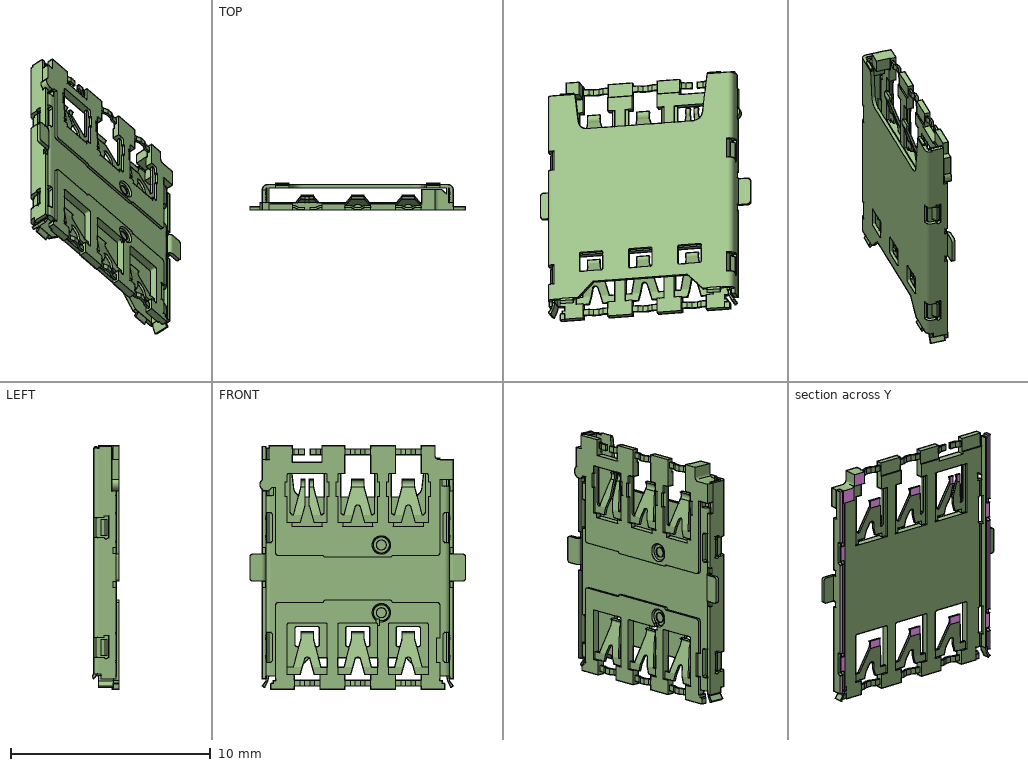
import cadquery as cq

HOUSING_TOP = 6.1
HOUSING_BACK = 0.37
EDGE_BACK = 0.3
BASE_FRONT = 0.13

COVER_HALF_WIDTH = 4.78
COVER_BACK = 1.28
SHEET = 0.18
COVER_INNER = COVER_BACK - SHEET
COVER_RADIUS = 0.27
COVER_TOP = 5.97
COVER_BOTTOM = -5.32
WALL_TOP = 6.06
WALL_BOTTOM = -5.57
WALL_FRONT = 0.17
WALL_FRONT_HIGH = 0.38
WALL_STEP_Z = 3.82
RIGHT_CORNER_X = 3.3
RIGHT_CORNER_Z = 5.4
WALL_INNER = COVER_HALF_WIDTH - SHEET

INNER_WALL = 0.11
WALL_GAP = 0.05
INNER_WALL_X = WALL_INNER - WALL_GAP - INNER_WALL
INNER_WALL_TOP = 5.97
INNER_WALL_BOTTOM = -5.43
BEND_RADIUS = 0.24
BEND_TOP_LEFT = 3.6
BEND_TOP_RIGHT = 4.08

PITCH = 2.53
COLUMNS = (-PITCH, 0.0, PITCH)
POCKET_RADIUS = 0.08
POCKET_HALF = 1.0
GAP_HALF = 0.64
WIDE_GAP_HALF = 0.74

SHOULDER_Z = 4.7
BAR_BOTTOM = 4.4
UPPER_ROOT_Z = 2.25
LOWER_ROOT_Z = -5.36
LOWER_POCKET_TOP = -2.78
POCKET_FLOOR = 0.13

FIRST_GAP_BOTTOM = 5.28
UPPER_STRIP_Z = 5.79
LOWER_STRIP_Z = -5.78
GATE_MARKS_Z = (1.13, -2.26)
LATCH_Z = (2.0, -3.99)
EPS = 0.02


def box(x0, x1, y0, y1, z0, z1):
    return cq.Workplane("XY").box(x1 - x0, y1 - y0, z1 - z0, centered=False).translate((x0, y0, z0))


def plate(points, y0, y1):
    """Extrude an outline in X, Z from y0 to y1."""
    return cq.Workplane("XZ", origin=(0, y0, 0)).polyline(points).close().extrude(y0 - y1)


def rounded_box(x0, x1, y0, y1, z0, z1, radius, edges="|Y"):
    return box(x0, x1, y0, y1, z0, z1).edges(edges).fillet(radius)


def both_sides(body):
    return body.union(body.mirror("YZ"))


def mirrored(points):
    """Complete a left-right symmetric outline from its right half."""
    return points + [(-x, z) for x, z in reversed(points)]


def base_sheet():
    flat_half = WALL_INNER - BEND_RADIUS
    relief_x = 4.22
    middle = box(-flat_half, flat_half, BASE_FRONT, HOUSING_BACK, INNER_WALL_BOTTOM, BAR_BOTTOM)
    middle = middle.cut(box(relief_x, flat_half, 0, HOUSING_BACK, BEND_TOP_RIGHT, BAR_BOTTOM))
    middle = middle.cut(box(-flat_half, -relief_x, 0, HOUSING_BACK, BEND_TOP_LEFT, BAR_BOTTOM))
    right_side = folded_side(BEND_TOP_RIGHT, RIGHT_CORNER_Z)
    left_side = folded_side(BEND_TOP_LEFT, INNER_WALL_TOP).mirror("YZ")
    return middle.union(right_side).union(left_side)


def folded_side(bend_top, wall_top):
    """Right-hand edge of the base, rolled up into the inner side wall."""
    flat_half = WALL_INNER - BEND_RADIUS
    bend = (
        cq.Workplane("XY", origin=(0, 0, INNER_WALL_BOTTOM))
        .moveTo(flat_half - EPS, BASE_FRONT)
        .lineTo(flat_half, BASE_FRONT)
        .radiusArc((WALL_INNER, BASE_FRONT + BEND_RADIUS), -BEND_RADIUS)
        .lineTo(WALL_INNER + EPS, HOUSING_BACK)
        .lineTo(WALL_INNER + EPS, HOUSING_BACK + EPS)
        .lineTo(flat_half - EPS, HOUSING_BACK + EPS)
        .close()
        .extrude(bend_top - INNER_WALL_BOTTOM)
    )
    wall = box(
        INNER_WALL_X, WALL_INNER - WALL_GAP, HOUSING_BACK, COVER_INNER + EPS, INNER_WALL_BOTTOM, wall_top
    )
    return bend.union(wall)


PAD_HALF = 4.11
PAD_RADIUS = 0.15
PAD_STEP = 1.65
PAD_CHAMFER = 0.08


def upper_housing():
    pad_z = 0.6
    left_top_x = -4.44
    right_top_x = 3.87
    pad = rounded_box(-PAD_HALF, PAD_HALF, 0, HOUSING_BACK, pad_z, SHOULDER_Z, PAD_RADIUS)
    lip = plate(
        mirrored([(PAD_STEP + PAD_CHAMFER, pad_z), (PAD_STEP, pad_z - PAD_CHAMFER)]), 0, HOUSING_BACK
    )
    bar = box(-COVER_HALF_WIDTH, COVER_HALF_WIDTH, 0, HOUSING_BACK, BAR_BOTTOM, RIGHT_CORNER_Z)
    crown = box(left_top_x, right_top_x, 0, EDGE_BACK, BAR_BOTTOM, HOUSING_TOP)
    return pad.union(lip).union(bar).union(crown).union(guide_nub()).union(corner_block())


def guide_nub():
    """Rounded nub on the left edge below the upper bar."""
    nub_x, nub_z, nub_radius = -4.59, 4.15, 0.31
    neck_bottom = 4.0
    neck_corner_x, neck_slope_x = -4.45, -4.3
    nub = cq.Workplane("XZ", origin=(nub_x, 0, nub_z)).circle(nub_radius).extrude(-HOUSING_BACK)
    neck = plate(
        [
            (nub_x, BAR_BOTTOM),
            (nub_x, nub_z - nub_radius),
            (neck_corner_x, nub_z - nub_radius),
            (neck_slope_x, neck_bottom),
            (-PAD_HALF, neck_bottom),
            (-PAD_HALF, BAR_BOTTOM),
        ],
        0,
        HOUSING_BACK,
    )
    return nub.union(neck)


def corner_block():
    """Tall key block in the upper right corner, with a concave shoulder."""
    left = 3.2
    right = 4.56
    step_x = 3.87
    step_radius = 0.2
    shoulder_z = RIGHT_CORNER_Z
    overhang_z = 5.45
    back = 1.03
    chamfer_x = 0.36
    chamfer_y = 0.33
    block = (
        cq.Workplane("XZ")
        .moveTo(left, overhang_z)
        .lineTo(left, HOUSING_TOP)
        .lineTo(step_x, HOUSING_TOP)
        .lineTo(step_x, shoulder_z + step_radius)
        .radiusArc((step_x + step_radius, shoulder_z), -step_radius)
        .lineTo(right, shoulder_z)
        .lineTo(right, SHOULDER_Z)
        .lineTo(step_x, SHOULDER_Z)
        .lineTo(step_x, overhang_z)
        .close()
        .extrude(-back)
    )
    corner = (
        cq.Workplane("XY", origin=(0, 0, SHOULDER_Z))
        .polyline([(right, back - chamfer_y), (right, back), (right - chamfer_x, back)])
        .close()
        .extrude(HOUSING_TOP - SHOULDER_Z)
    )
    return block.cut(corner)


def lower_housing():
    pad_z = -1.74
    lip_z = -1.62
    foot_half = 4.36
    foot_top = -5.78
    foot_chamfer = 0.05
    ankle_x, ankle_top = 4.24, -5.66
    notch_x, notch_top, notch_bottom = 3.94, -3.53, -4.74
    pad = box(-PAD_HALF, PAD_HALF, 0, HOUSING_BACK, -HOUSING_TOP, pad_z)
    pad = pad.edges("|Y and >Z").fillet(PAD_RADIUS)
    lip = plate(mirrored([(PAD_STEP + PAD_CHAMFER, pad_z), (PAD_STEP, lip_z)]), 0, HOUSING_BACK)
    foot = box(-foot_half, foot_half, 0, EDGE_BACK, -HOUSING_TOP, foot_top)
    foot = foot.edges("|Y and >Z").chamfer(foot_chamfer)
    ankle = both_sides(box(PAD_HALF - EPS, ankle_x, 0, HOUSING_BACK, foot_top - EPS, ankle_top))
    notch = box(notch_x, PAD_HALF + EPS, 0, BASE_FRONT, notch_bottom, notch_top)
    return pad.union(lip).union(foot).union(ankle).cut(notch)


def upper_pocket(x, gap_half, gap_bottom):
    notch_half, notch_bottom, notch_top = 1.1, 3.56, 4.28
    through_half, through_bottom, through_radius = 0.85, 2.66, 0.12
    slot_half, slot_bottom = 0.75, 2.05
    ledge_back = POCKET_FLOOR + CONTACT_THICKNESS
    recess = rounded_box(
        x - POCKET_HALF,
        x + POCKET_HALF,
        0,
        POCKET_FLOOR,
        UPPER_ROOT_Z,
        SHOULDER_Z,
        POCKET_RADIUS,
        "|Y and >Z",
    )
    side_notches = box(x - notch_half, x + notch_half, 0, POCKET_FLOOR, notch_bottom, notch_top)
    through = rounded_box(
        x - through_half,
        x + through_half,
        0,
        HOUSING_BACK + EPS,
        through_bottom,
        SHOULDER_Z,
        through_radius,
        "|Y and <Z",
    )
    gap = box(x - gap_half, x + gap_half, 0, HOUSING_BACK + EPS, gap_bottom, HOUSING_TOP)
    slot = box(x - slot_half, x + slot_half, 0, HOUSING_BACK + EPS, slot_bottom, through_bottom + EPS)
    rear = box(x - POCKET_HALF, x + POCKET_HALF, ledge_back, HOUSING_BACK + EPS, slot_bottom, SHOULDER_Z)
    return recess.union(side_notches).union(rear).union(through).union(gap).union(slot)


def lower_pocket(x):
    window = rounded_box(
        x - POCKET_HALF,
        x + POCKET_HALF,
        0,
        HOUSING_BACK + EPS,
        LOWER_ROOT_Z,
        LOWER_POCKET_TOP,
        POCKET_RADIUS,
        "|Y and >Z",
    )
    gap = box(x - GAP_HALF, x + GAP_HALF, 0, HOUSING_BACK + EPS, -HOUSING_TOP, LOWER_ROOT_Z)
    return window.union(gap)


def gate_mark(z):
    """Round countersunk dimple with a smaller centre recess."""
    x = 1.18
    rim, floor, centre = 0.92, 0.8, 0.5
    floor_depth, centre_depth = 0.1, 0.15
    cone = (
        cq.Workplane("XZ", origin=(x, 0, z)).circle(rim / 2)
        .workplane(offset=-floor_depth).circle(floor / 2).loft()
    )
    core = cq.Workplane("XZ", origin=(x, 0, z)).circle(centre / 2).extrude(-centre_depth)
    return cone.union(core)


def gate_channel():
    """Short channel from the lower dimple to the middle pocket."""
    left, right = 0.91, 1.1
    bottom, top = -2.9, -2.58
    return box(left, right, 0, BASE_FRONT, bottom, top)


FOOT_LENGTH = 0.38
BEND_END = 0.62
ARM_END = 1.79
LOWER_ARM_END = 1.94
TIP_END = 2.17
CONTACT_THICKNESS = 0.12
CREST = 0.14
WIDE_CREST = 0.44
LINK_BREAK = (-2.66, -2.38)


def contact_profile(arm_end):
    """Side shape in Y, Z: flat root, rising arm and a tip curled forward."""
    root, knee, tip = POCKET_FLOOR, 0.2, 0.54
    slope = 0.31
    bevel = 0.04
    arm = knee + slope * (arm_end - BEND_END)
    crest_z, crest = (arm_end + TIP_END) / 2, 0.62
    t = CONTACT_THICKNESS
    return (
        cq.Workplane("YZ", origin=(-POCKET_HALF, 0, 0))
        .moveTo(root, 0)
        .lineTo(root, FOOT_LENGTH)
        .lineTo(knee, BEND_END)
        .lineTo(arm, arm_end)
        .threePointArc((crest, crest_z), (tip, TIP_END - bevel))
        .lineTo(crest + t / 2, TIP_END)
        .threePointArc((crest + t, crest_z), (arm + t, arm_end - EPS))
        .lineTo(knee + t, BEND_END - EPS)
        .lineTo(root + t, FOOT_LENGTH)
        .lineTo(root + t, 0)
        .close()
        .extrude(2 * POCKET_HALF)
    )


def contact(x, z, arm_end, split):
    arm_half = 0.69
    tip_half = 0.32
    fork_half = 0.35
    apex_half = 0.14
    apex_z, apex_top = 0.75, 0.88
    slit_half = 0.1
    depth = 1.0
    outline = plate(
        mirrored(
            [
                (POCKET_HALF, 0),
                (POCKET_HALF, FOOT_LENGTH),
                (arm_half, FOOT_LENGTH),
                (tip_half, ARM_END),
                (tip_half, TIP_END),
            ]
        ),
        0,
        depth,
    )
    fork = (
        cq.Workplane("XZ")
        .moveTo(-fork_half, 0)
        .lineTo(-apex_half, apex_z)
        .threePointArc((0, apex_top), (apex_half, apex_z))
        .lineTo(fork_half, 0)
        .close()
        .extrude(-depth)
    )
    spring = contact_profile(arm_end).intersect(outline).cut(fork)
    if split:
        spring = spring.cut(box(-slit_half, slit_half, 0, depth, 0, TIP_END))
    return spring.translate((x, 0, z))


def carrier_strip(x, z, half_length, crest_half):
    """Stamped link crossing a gap, stepped forward in the middle."""
    slope_length = 0.22
    valley_half = crest_half + slope_length
    front, step, thickness = 0.13, 0.1, 0.11
    half_height = 0.15
    end = half_length + EPS
    front_edge = [
        (-end, front), (-valley_half, front), (-crest_half, front - step),
        (crest_half, front - step), (valley_half, front), (end, front),
    ]
    back_edge = [(px, py + thickness) for px, py in reversed(front_edge)]
    strip = cq.Workplane("XY").polyline(front_edge + back_edge).close().extrude(2 * half_height)
    return strip.translate((x, 0, z - half_height))


LIP_INNER = 3.44
LIP_OUTER = 4.12


def cover():
    shell = box(
        -COVER_HALF_WIDTH, COVER_HALF_WIDTH, WALL_FRONT, COVER_BACK, WALL_BOTTOM, WALL_TOP
    ).edges("|Z and >Y").fillet(COVER_RADIUS)
    cavity = box(-WALL_INNER, WALL_INNER, 0, COVER_INNER, WALL_BOTTOM, WALL_TOP)
    cavity = cavity.edges("|Z and >Y").fillet(COVER_RADIUS - SHEET)
    shell = shell.cut(cavity)
    full = COVER_HALF_WIDTH
    corner_y = COVER_BACK - COVER_RADIUS
    lower_corner_y = 0.91
    shell = shell.cut(box(-full, full, corner_y, COVER_BACK, COVER_TOP, WALL_TOP))
    shell = shell.cut(box(-full, full, lower_corner_y, COVER_BACK, WALL_BOTTOM, COVER_BOTTOM))
    shell = shell.cut(box(-full, full, 0, WALL_FRONT_HIGH, WALL_STEP_Z, WALL_TOP))
    shell = shell.cut(box(RIGHT_CORNER_X, full, 0, COVER_BACK, RIGHT_CORNER_Z, WALL_TOP))
    shell = shell.cut(cover_openings())
    shell = shell.union(both_sides(lower_lip()))
    return shell.union(upper_lip(RIGHT_CORNER_Z)).union(upper_lip(COVER_TOP).mirror("YZ"))


def cover_openings():
    top_edge, top_half, bottom_half = 3.54, 3.45, 3.15
    foot_edge, foot_half, foot_open = -4.52, 2.42, 3.44
    window_half, window_top, window_bottom = 0.6, -2.95, -3.95
    corner_radius = 0.5
    window_radius = 0.08
    taper_end = -5.55
    upper = plate(mirrored([(bottom_half, top_edge), (top_half, WALL_TOP)]), COVER_INNER, COVER_BACK)
    upper = upper.edges("|Y and <Z").fillet(corner_radius)
    lower = plate(
        mirrored([(foot_half, foot_edge), (foot_open, taper_end), (foot_open, WALL_BOTTOM)]),
        COVER_INNER,
        COVER_BACK,
    )
    openings = upper.union(lower)
    for x in COLUMNS:
        window = rounded_box(
            x - window_half,
            x + window_half,
            COVER_INNER,
            COVER_BACK,
            window_bottom,
            window_top,
            window_radius,
        )
        openings = openings.union(window)
    return openings


def lower_lip():
    """Lip at the lower edge of the cover, curled outward."""
    back, back_z = 1.35, -5.44
    front, front_z = 1.2, -5.48
    tip_back, tip_z = 1.29, -5.58
    width = LIP_OUTER - LIP_INNER
    outline = [
        (COVER_INNER, COVER_BOTTOM + EPS),
        (COVER_BACK, COVER_BOTTOM + EPS),
        (back, back_z),
        (tip_back, tip_z),
        (front, front_z),
    ]
    return cq.Workplane("YZ", origin=(LIP_INNER, 0, 0)).polyline(outline).close().extrude(width)


def upper_lip(edge_z):
    """Small rounded lip standing on an upper edge of the cover."""
    height, back = 0.08, 1.23
    lip = box(LIP_INNER, LIP_OUTER, COVER_INNER, back, edge_z - EPS, edge_z + height)
    return lip.edges("|X and >Z").fillet(height / 2)


def side_tab():
    """Solder tab bent outward from the right wall."""
    tip_x, half_height, bend, corner = 5.4, 0.68, 0.2, 0.15
    tab = (
        cq.Workplane("XY", origin=(0, 0, -half_height))
        .moveTo(WALL_INNER, HOUSING_BACK)
        .lineTo(WALL_INNER, bend)
        .radiusArc((WALL_INNER + bend, 0), -bend)
        .lineTo(tip_x, 0)
        .lineTo(tip_x, WALL_FRONT)
        .lineTo(COVER_HALF_WIDTH, WALL_FRONT)
        .lineTo(COVER_HALF_WIDTH, HOUSING_BACK)
        .close()
        .extrude(2 * half_height)
    )
    return tab.edges("|Y and >X").fillet(corner)


def tab_reliefs():
    """Small notches in the right wall above and below the solder tab."""
    inner, outer, depth = 0.7, 1.0, 0.31
    upper = box(WALL_INNER + EPS, COVER_HALF_WIDTH, 0, depth, inner, outer)
    return upper.union(upper.mirror("XY"))


def flared_leg():
    """Lead-in leg that flares outward below the right inner wall."""
    front, back = 0.29, 1.05
    outline = [
        (4.44, INNER_WALL_BOTTOM + EPS),
        (4.58, INNER_WALL_BOTTOM + EPS),
        (4.6, -5.68),
        (4.78, -5.92),
        (4.66, -6.01),
        (4.5, -5.68),
    ]
    return plate(outline, front, back)


def latch_window(z):
    """Opening in the right outer wall, wider at its front end."""
    front, step, back = 0.53, 0.77, COVER_BACK
    ear = 0.1
    wide, narrow = 0.59, 0.5
    outline = [
        (front, z - narrow), (step - ear, z - wide), (step, z - narrow), (back, z - narrow),
        (back, z + narrow), (step, z + narrow), (step, z + wide), (front, z + wide),
    ]
    return cq.Workplane("YZ", origin=(INNER_WALL_X, 0, 0)).polyline(outline).close().extrude(2 * SHEET)


def latch_lug(z):
    """Raised stretch of the right inner wall inside a window, with a wedge-shaped catch."""
    front, ridge, back = 0.62, 0.72, 0.93
    half_height, rise = 0.4, 0.14
    tongue_half, tongue_back = 0.48, 1.17
    inner = WALL_INNER - WALL_GAP - EPS
    crest = WALL_INNER + rise
    lug = (
        cq.Workplane("XY", origin=(0, 0, z - half_height))
        .polyline([(inner, front), (crest, front), (crest, ridge), (inner, back)])
        .close()
        .extrude(2 * half_height)
    )
    tongue = box(
        INNER_WALL_X, WALL_INNER - WALL_GAP, back, tongue_back, z - tongue_half, z + tongue_half
    )
    return lug.union(tongue)


def latch_slot(z):
    """Opening in the rolled edge of the base beside a latch."""
    inner_x, half_height, depth, corner = 4.27, 0.75, 0.5, 0.08
    slot = box(inner_x, WALL_INNER, 0, depth, z - half_height, z + half_height)
    return slot.edges("|Y and <X").chamfer(corner)


base = base_sheet().union(upper_housing()).union(lower_housing())
for column in COLUMNS:
    first = column == COLUMNS[0]
    upper_gap = WIDE_GAP_HALF if first else GAP_HALF
    base = base.cut(upper_pocket(column, upper_gap, FIRST_GAP_BOTTOM if first else SHOULDER_Z - EPS))
    base = base.cut(lower_pocket(column))
for mark_z in GATE_MARKS_Z:
    base = base.cut(gate_mark(mark_z))
base = base.cut(gate_channel())
for latch_z in LATCH_Z:
    base = base.cut(both_sides(latch_slot(latch_z)))

for column in COLUMNS:
    first = column == COLUMNS[0]
    upper_gap = WIDE_GAP_HALF if first else GAP_HALF
    link = carrier_strip(column, UPPER_STRIP_Z, upper_gap, WIDE_CREST if first else CREST)
    if first:
        link = link.cut(box(*LINK_BREAK, 0, HOUSING_BACK, SHOULDER_Z, HOUSING_TOP))
    base = base.union(link)
    base = base.union(carrier_strip(column, LOWER_STRIP_Z, GAP_HALF, CREST))
    base = base.union(contact(column, UPPER_ROOT_Z, ARM_END, first))
    base = base.union(contact(column, LOWER_ROOT_Z, LOWER_ARM_END, False))

shell = cover().cut(both_sides(tab_reliefs())).union(both_sides(side_tab()))
for latch_z in LATCH_Z:
    shell = shell.cut(both_sides(latch_window(latch_z)))

result = shell.union(base).union(both_sides(flared_leg()))
for latch_z in LATCH_Z:
    result = result.union(both_sides(latch_lug(latch_z)))